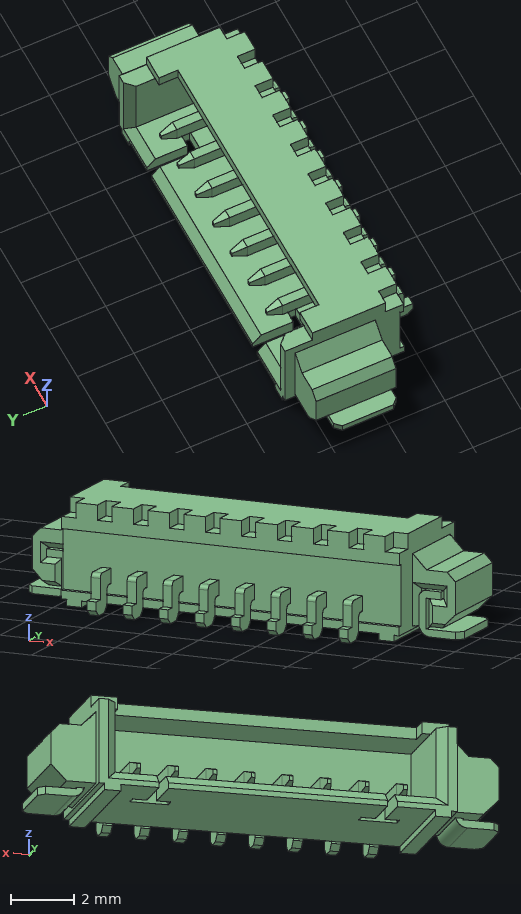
import cadquery as cq

overall_length = 15.15
overall_depth = 5.2
overall_height = 3.4
rear_y = overall_depth / 2
front_y = -overall_depth / 2

pin_count = 8
pin_row_length = 8.75
pitch = pin_row_length / (pin_count - 1)
pin_width = 0.32
pin_thickness = 0.5
pin_top = 1.35
pin_tip_y = rear_y - 0.71
pin_taper_y = rear_y - 1.21
pin_tip_width = 0.12
pin_tip_thickness = 0.15
pin_foot_length = 0.32
pin_elbow_radius = 0.15
pin_foot_chamfer = 0.2

notch_width = 0.5
notch_length = 0.64
notch_depth = 0.5
body_half_length = (pin_row_length + 2 * pitch + notch_width) / 2
body_bottom = 0.21
body_front_y = rear_y - 4.08
upper_band_y = rear_y - 4.2
lower_band_y = rear_y - 4.23
upper_band_bottom = 2.5
lower_band_top = 0.5
foot_outer_x = 5.7
foot_width = 0.53

cavity_half_length = 5.27
cavity_floor = 0.7
cavity_top = 3.0
cavity_depth = 3.25
mouth_chamfer = 0.3
side_step_length = 0.97
roof_opening_half_length = 5.0
roof_opening_length = 1.64

slot_x = pin_row_length / 2 - pitch / 2
slot_width = 0.32
slot_length = 1.44
cross_slot_width = pitch
cross_slot_length = 0.3

ear_rear_y = rear_y - 0.36
ear_front_y = rear_y - 3.2
ear_outer_x = 7.36
ear_top = 2.18
ear_bottom = 0.3
ear_top_chamfer = 0.29
ear_bottom_chamfer = 0.52
ear_brace = 0.48

tab_thickness = 0.25
tab_rear_y = rear_y - 0.97
tab_outer_x = overall_length / 2
tab_corner_chamfer = 0.21
tab_hook_x = 6.86
tab_hook_top = 1.52
tab_foot_bend_radius = 0.4
funnel = 0.21
tab_web_x = body_half_length + funnel


def block(x0, x1, y0, y1, z0, z1):
    """Box between opposite corners."""
    return cq.Workplane("XY").box(x1 - x0, y1 - y0, z1 - z0, centered=False).translate((x0, y0, z0))


def wide_block(half_length, y0, y1, z0, z1):
    """Box centred on X."""
    return block(-half_length, half_length, y0, y1, z0, z1)


def mirrored_pair(shape):
    """A shape on the +X side together with its mirror image."""
    return shape.union(shape.mirror("YZ"))


def make_housing_block():
    """Closed block with its front bands and the two feet."""
    housing = wide_block(body_half_length, body_front_y, rear_y, body_bottom, overall_height)
    upper_band = wide_block(
        body_half_length, upper_band_y, body_front_y, upper_band_bottom, overall_height
    )
    housing = housing.union(upper_band)
    housing = housing.union(
        wide_block(body_half_length, lower_band_y, body_front_y, body_bottom, lower_band_top)
    )
    foot = block(foot_outer_x - foot_width, foot_outer_x, lower_band_y, rear_y, 0, body_bottom)
    return housing.union(mirrored_pair(foot))


def mouth_outline(flare):
    """Cavity cross-section, widened at the sides and the floor."""
    half_length = cavity_half_length + flare
    floor = cavity_floor - flare
    return [
        (-half_length, floor),
        (half_length, floor),
        (half_length, cavity_top),
        (-half_length, cavity_top),
    ]


def make_cavity():
    """Mating space with its flared mouth, the roof opening and the lowered side walls."""
    cavity = wide_block(cavity_half_length, rear_y - cavity_depth, rear_y, cavity_floor, cavity_top)
    mouth = (
        cq.Workplane("XZ", origin=(0, rear_y - mouth_chamfer, 0))
        .polyline(mouth_outline(0))
        .close()
        .workplane(offset=-mouth_chamfer)
        .polyline(mouth_outline(mouth_chamfer))
        .close()
        .loft(ruled=True)
    )
    roof_opening = wide_block(
        roof_opening_half_length, rear_y - roof_opening_length, rear_y, cavity_floor, overall_height
    )
    side_step = wide_block(
        body_half_length, rear_y - side_step_length, rear_y, cavity_top, overall_height
    )
    return cavity.union(mouth).union(roof_opening).union(side_step)


def make_floor_slots():
    """T-shaped slots that pass through the floor."""
    slot_end_y = rear_y - slot_length
    stem = block(
        slot_x - slot_width / 2, slot_x + slot_width / 2, slot_end_y, rear_y, 0, cavity_floor
    )
    cross = block(
        slot_x - cross_slot_width / 2,
        slot_x + cross_slot_width / 2,
        slot_end_y - cross_slot_length,
        slot_end_y,
        0,
        cavity_floor,
    )
    return mirrored_pair(stem.union(cross))


def make_notch(x):
    """Notch in the front top edge."""
    return block(
        x - notch_width / 2,
        x + notch_width / 2,
        upper_band_y,
        upper_band_y + notch_length,
        overall_height - notch_depth,
        overall_height,
    )


def make_pin(x):
    """Contact: tapered tip, straight shank, downward leg and solder foot."""
    leg_front_y = front_y + pin_foot_length
    leg_rear_y = leg_front_y + pin_thickness
    pin_bottom = pin_top - pin_thickness
    bent_blade = (
        cq.Workplane("YZ", origin=(x, 0, 0))
        .moveTo(pin_taper_y, pin_top)
        .lineTo(leg_front_y + pin_elbow_radius, pin_top)
        .radiusArc((leg_front_y, pin_top - pin_elbow_radius), -pin_elbow_radius)
        .lineTo(leg_front_y, pin_thickness)
        .lineTo(front_y, pin_thickness)
        .lineTo(front_y, pin_foot_chamfer)
        .lineTo(front_y + pin_foot_chamfer, 0)
        .lineTo(leg_rear_y - pin_foot_chamfer, 0)
        .lineTo(leg_rear_y, pin_foot_chamfer)
        .lineTo(leg_rear_y, pin_bottom - pin_elbow_radius)
        .radiusArc((leg_rear_y + pin_elbow_radius, pin_bottom), pin_elbow_radius)
        .lineTo(pin_taper_y, pin_bottom)
        .close()
        .extrude(pin_width / 2, both=True)
    )
    tip = (
        cq.Workplane("XZ", origin=(x, pin_taper_y, pin_top - pin_thickness / 2))
        .rect(pin_width, pin_thickness)
        .workplane(offset=pin_taper_y - pin_tip_y)
        .rect(pin_tip_width, pin_tip_thickness)
        .loft(ruled=True)
    )
    return bent_blade.union(tip)


def tab_slot_outline(grow):
    """Square-cornered tab profile, grown outwards on every side."""
    lip_x = tab_web_x + tab_thickness + grow
    hook_bottom = tab_hook_top - tab_thickness - grow
    foot_top = tab_thickness + grow
    return [
        (tab_web_x - grow, 0),
        (tab_web_x - grow, tab_hook_top + grow),
        (tab_hook_x + grow, tab_hook_top + grow),
        (tab_hook_x + grow, hook_bottom),
        (lip_x, hook_bottom),
        (lip_x, foot_top),
        (tab_outer_x + grow, foot_top),
        (tab_outer_x + grow, 0),
    ]


def make_ear():
    """Ear on the +X side with a slot for the tab, flared at the front."""
    ear = (
        cq.Workplane("XZ", origin=(0, ear_rear_y, 0))
        .polyline(
            [
                (body_half_length, ear_bottom),
                (ear_outer_x - ear_bottom_chamfer, ear_bottom),
                (ear_outer_x, ear_bottom + ear_bottom_chamfer),
                (ear_outer_x, ear_top - ear_top_chamfer),
                (ear_outer_x - ear_top_chamfer, ear_top),
                (body_half_length + ear_brace, ear_top),
                (body_half_length, ear_top + ear_brace),
            ]
        )
        .close()
        .extrude(ear_rear_y - ear_front_y)
    )
    slot = (
        cq.Workplane("XZ", origin=(0, tab_rear_y, 0))
        .polyline(tab_slot_outline(0))
        .close()
        .extrude(tab_rear_y - ear_front_y)
    )
    flare = (
        cq.Workplane("XZ", origin=(0, ear_front_y + funnel, 0))
        .polyline(tab_slot_outline(0))
        .close()
        .workplane(offset=funnel)
        .polyline(tab_slot_outline(funnel))
        .close()
        .loft(ruled=True)
    )
    return ear.cut(slot).cut(flare)


def make_tab():
    """Solder tab on the +X side: hook in the ear, vertical web and flat foot."""
    web_outer_x = tab_web_x + tab_thickness
    hook_bend_radius = tab_thickness
    tab = (
        cq.Workplane("XZ", origin=(0, tab_rear_y, 0))
        .moveTo(tab_outer_x, 0)
        .lineTo(tab_outer_x, tab_thickness)
        .lineTo(web_outer_x, tab_thickness)
        .lineTo(web_outer_x, tab_hook_top - tab_thickness)
        .lineTo(tab_hook_x, tab_hook_top - tab_thickness)
        .lineTo(tab_hook_x, tab_hook_top)
        .lineTo(tab_web_x + hook_bend_radius, tab_hook_top)
        .radiusArc((tab_web_x, tab_hook_top - hook_bend_radius), -hook_bend_radius)
        .lineTo(tab_web_x, tab_foot_bend_radius)
        .radiusArc((tab_web_x + tab_foot_bend_radius, 0), -tab_foot_bend_radius)
        .close()
        .extrude(tab_rear_y - ear_front_y)
    )
    return tab.edges("|Z and >X").chamfer(tab_corner_chamfer)


result = make_housing_block().cut(make_cavity()).cut(make_floor_slots())

for index in range(pin_count + 2):
    result = result.cut(make_notch(-pin_row_length / 2 + (index - 1) * pitch))

for index in range(pin_count):
    result = result.union(make_pin(-pin_row_length / 2 + index * pitch))

result = result.union(mirrored_pair(make_ear())).union(mirrored_pair(make_tab()))